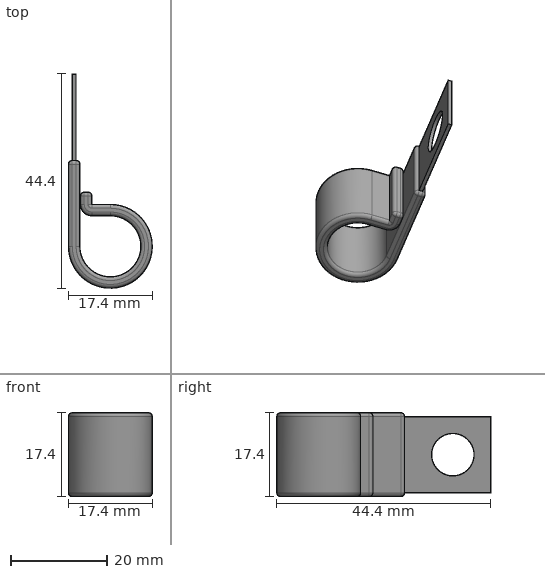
import cadquery as cq

total_length = 44.4
width = 17.4
layer = 0.8
leg_end_y = 17.8
lip_end_y = 11.25
lip_gap = 0.1
hole_diameter = 8.75

loop_radius = width / 2
wall = 3 * layer
edge_radius = layer
strap_width = width - 2 * layer
strap_end_y = total_length - loop_radius
hole_y = strap_end_y - strap_width / 2
leg_x = -loop_radius + wall / 2
bend_x = leg_x + wall / 2 + lip_gap + wall
bend_y = loop_radius
lip_x = bend_x - wall / 2
neck_y = loop_radius - wall / 2


def wall_block(start, end, closed_end):
    """Straight wall along +Y, centred on X and Z, with a rounded end if closed."""
    length = end - start
    block = cq.Workplane("XY").box(wall, length, width).translate((0, start + length / 2, 0))
    edges = block.edges("|Y or >Y") if closed_end else block.edges("|Y")
    return edges.fillet(edge_radius)


def wall_arc(outer_radius, sweep_angle, start_angle):
    """Curved wall about the Z axis, swept counterclockwise from start_angle."""
    section = cq.Sketch().rect(wall, width).vertices().fillet(edge_radius)
    axis_x = wall / 2 - outer_radius
    arc = (
        cq.Workplane("XZ", origin=(-axis_x, 0, 0))
        .placeSketch(section)
        .revolve(sweep_angle, (axis_x, 0), (axis_x, 1))
    )
    return arc.rotate((0, 0, 0), (0, 0, 1), start_angle)


leg = wall_block(0, leg_end_y, True).translate((leg_x, 0, 0))
loop = wall_arc(loop_radius, 270, 180)
neck = wall_block(0, -bend_x, False).rotate((0, 0, 0), (0, 0, 1), 90).translate((0, neck_y, 0))
bend = wall_arc(wall, 90, 180).translate((bend_x, bend_y, 0))
lip = wall_block(bend_y, lip_end_y, True).translate((lip_x, 0, 0))

strap = (
    cq.Workplane("XY")
    .box(layer, strap_end_y, strap_width)
    .translate((leg_x, strap_end_y / 2, 0))
)
hole = (
    cq.Workplane("YZ", origin=(leg_x, hole_y, 0))
    .circle(hole_diameter / 2)
    .extrude(layer, both=True)
)

result = leg.union(loop).union(neck).union(bend).union(lip).union(strap.cut(hole))